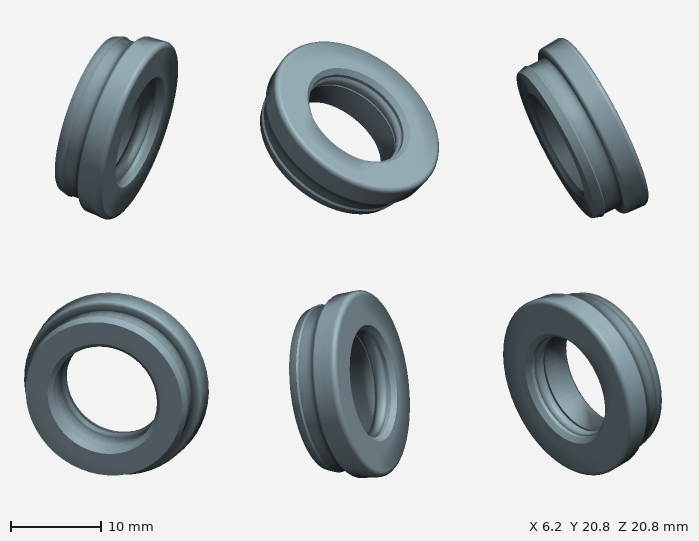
import cadquery as cq

total_length = 6.2
barb_crest_x = 1.0
neck_start_x = 1.19
flange_start_x = 3.2

nose_radius = 9.03
barb_radius = 9.35
neck_radius = 9.2
flange_front_radius = 10.23
flange_rear_radius = 10.45
flange_front_fillet = 0.4
flange_rear_fillet = 0.56

bore_radius = 5.97
bore_chamfer = 0.52

seal_inner_radius = 5.72
seal_section_radius = 0.8
seal_center_x = 4.47
seal_center_radius = seal_inner_radius + seal_section_radius
seal_outer_radius = seal_center_radius + seal_section_radius

groove_width = 2 * seal_section_radius
groove_floor_radius = seal_outer_radius

selection_margin = 0.01


def revolve_about_x(profile):
    """Turn an (axial, radial) profile a full revolution around the X axis."""
    return profile.revolve(360, (0, 0, 0), (1, 0, 0), clean=False)


def fillet_circle(body, x, radius, fillet):
    """Round the circular edge of given radius lying in the plane at x."""
    corner = cq.selectors.BoxSelector(
        (x - selection_margin, -radius - selection_margin, -radius - selection_margin),
        (x + selection_margin, radius + selection_margin, radius + selection_margin),
        boundingbox=True,
    )
    return body.edges(corner).edges(cq.selectors.RadiusNthSelector(-1)).fillet(fillet)


def make_outer_blank():
    """Solid of revolution with barbed nose, neck and tapered flange."""
    profile = (
        cq.Workplane("XZ")
        .moveTo(0, 0)
        .lineTo(0, nose_radius)
        .lineTo(barb_crest_x, barb_radius)
        .lineTo(neck_start_x, neck_radius)
        .lineTo(flange_start_x, neck_radius)
        .lineTo(flange_start_x, flange_front_radius)
        .lineTo(total_length, flange_rear_radius)
        .lineTo(total_length, 0)
        .close()
    )
    blank = revolve_about_x(profile)
    blank = fillet_circle(blank, flange_start_x, flange_front_radius, flange_front_fillet)
    return fillet_circle(blank, total_length, flange_rear_radius, flange_rear_fillet)


def make_bore():
    """Through bore widened by a 45 degree chamfer at each end."""
    mouth_radius = bore_radius + bore_chamfer
    profile = (
        cq.Workplane("XZ")
        .moveTo(0, 0)
        .lineTo(0, mouth_radius)
        .lineTo(bore_chamfer, bore_radius)
        .lineTo(total_length - bore_chamfer, bore_radius)
        .lineTo(total_length, mouth_radius)
        .lineTo(total_length, 0)
        .close()
    )
    return revolve_about_x(profile)


def make_groove():
    """Disc that cuts the seal groove into the bore wall."""
    return (
        cq.Workplane("YZ", origin=(seal_center_x - seal_section_radius, 0, 0))
        .circle(groove_floor_radius)
        .extrude(groove_width)
    )


def make_housing():
    return make_outer_blank().cut(make_bore()).cut(make_groove())


def make_seal():
    """Ring of round section, its section drawn as two arcs meeting at the inner crest."""
    profile = (
        cq.Workplane("XZ")
        .moveTo(seal_center_x, seal_inner_radius)
        .threePointArc(
            (seal_center_x + seal_section_radius, seal_center_radius),
            (seal_center_x, seal_outer_radius),
        )
        .threePointArc(
            (seal_center_x - seal_section_radius, seal_center_radius),
            (seal_center_x, seal_inner_radius),
        )
        .close()
    )
    return revolve_about_x(profile)


housing = make_housing()
seal = make_seal()

result = cq.Compound.makeCompound([housing.val(), seal.val()])